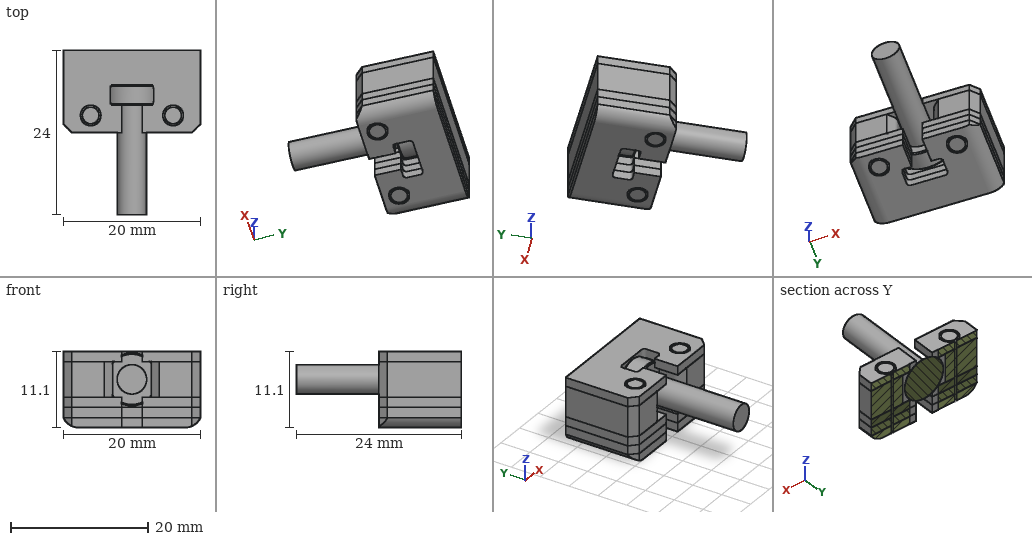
import cadquery as cq
import math

block_width = 20.0
block_depth = 12.0
block_height = 11.1
core_thickness = 5.15
corner_chamfer = 1.25
bottom_edge_radius = 2.5

plate_thickness = (block_height - core_thickness) / 4
core_bottom = 3 * plate_thickness
core_top = core_bottom + core_thickness

shank_diameter = 4.3
shank_tip_y = -12.0
head_diameter = 7.7
head_front_y = 3.98
head_length = 2.98
head_back_y = head_front_y + head_length
head_chamfer = 0.2
screw_z = core_bottom + core_thickness / 2

plate_slot_width = 3.02
plate_pocket_width = 6.3
pocket_corner_radius = 0.5

throat_width = 5.62
mouth_width = 8.0
mouth_corner_radius = 0.85
core_cavity_width = mouth_width

pin_diameter = 3.0
pin_spacing = 12.0
pin_y = 2.5
pin_chamfer = 0.3


def block_layer(bottom_z, thickness):
    """Plain layer of the block with chamfered front corners and both pin holes."""
    return (
        cq.Workplane("XY", origin=(0, block_depth / 2, bottom_z))
        .rect(block_width, block_depth)
        .extrude(thickness)
        .edges("|Z and <Y")
        .chamfer(corner_chamfer)
        .cut(pin_holes(bottom_z, thickness))
    )


def pin_holes(bottom_z, thickness):
    """Cutter for both pin holes of one layer."""
    return (
        cq.Workplane("XY", origin=(0, pin_y, bottom_z))
        .pushPoints([(-pin_spacing / 2, 0), (pin_spacing / 2, 0)])
        .circle(pin_diameter / 2)
        .extrude(thickness)
    )


def box_cutter(width, front_y, length, bottom_z, thickness):
    """Box centred on X = 0, reaching back from front_y."""
    return (
        cq.Workplane("XY", origin=(0, front_y + length / 2, bottom_z))
        .rect(width, length)
        .extrude(thickness)
    )


def make_plate(bottom_z):
    """Thin layer with a slot for the shank and a rounded pocket for the head."""
    slot = box_cutter(plate_slot_width, 0, head_back_y, bottom_z, plate_thickness)
    pocket = (
        box_cutter(plate_pocket_width, head_front_y, head_length, bottom_z, plate_thickness)
        .edges("|Z")
        .fillet(pocket_corner_radius)
    )
    return block_layer(bottom_z, plate_thickness).cut(slot).cut(pocket)


def make_bottom_plate():
    """Lowest plate, whose side edges are arcs that start level at the underside and stop at its top."""
    half_width = block_width / 2
    arc_rise = plate_thickness
    arc_reach = math.sqrt(bottom_edge_radius**2 - (bottom_edge_radius - arc_rise) ** 2)
    flat_half_width = half_width - arc_reach
    envelope = (
        cq.Workplane("XZ")
        .moveTo(-flat_half_width, 0)
        .lineTo(flat_half_width, 0)
        .tangentArcPoint((half_width, arc_rise), relative=False)
        .lineTo(-half_width, arc_rise)
        .radiusArc((-flat_half_width, 0), -bottom_edge_radius)
        .close()
        .extrude(-block_depth)
    )
    return make_plate(0).intersect(envelope)


def make_core():
    """Thick middle layer around the screw."""
    flare = (mouth_width - throat_width) / 2
    mouth_and_throat = (
        cq.Workplane("XY", origin=(0, 0, core_bottom))
        .moveTo(-mouth_width / 2, 0)
        .lineTo(-throat_width / 2, flare)
        .lineTo(-throat_width / 2, head_back_y)
        .lineTo(throat_width / 2, head_back_y)
        .lineTo(throat_width / 2, flare)
        .lineTo(mouth_width / 2, 0)
        .close()
        .extrude(core_thickness)
    )
    throat_corners = cq.selectors.BoxSelector(
        (-mouth_width / 2, flare / 2, core_bottom),
        (mouth_width / 2, flare * 3 / 2, core_top),
    )
    mouth_and_throat = mouth_and_throat.edges("|Z").edges(throat_corners).fillet(mouth_corner_radius)
    cavity = box_cutter(core_cavity_width, head_front_y, head_length, core_bottom, core_thickness)
    return block_layer(core_bottom, core_thickness).cut(mouth_and_throat).cut(cavity)


def make_screw():
    """Screw with a chamfered cylindrical head and a plain shank."""
    head = (
        cq.Workplane("XZ", origin=(0, head_front_y, screw_z))
        .circle(head_diameter / 2)
        .extrude(-head_length)
        .edges()
        .chamfer(head_chamfer)
    )
    shank = (
        cq.Workplane("XZ", origin=(0, head_front_y, screw_z))
        .circle(shank_diameter / 2)
        .extrude(head_front_y - shank_tip_y)
    )
    return head.union(shank)


def make_pin(x):
    """Full-height pin, chamfered at both ends."""
    return (
        cq.Workplane("XY", origin=(x, pin_y, 0))
        .circle(pin_diameter / 2)
        .extrude(block_height)
        .edges("%CIRCLE")
        .chamfer(pin_chamfer)
    )


bottom_plate = make_bottom_plate()
plates = [make_plate(z) for z in (plate_thickness, 2 * plate_thickness, core_top)]
core = make_core()
screw = make_screw()
pins = [make_pin(side * pin_spacing / 2) for side in (-1, 1)]

result = cq.Compound.makeCompound(
    [body.val() for body in [bottom_plate, *plates, core, screw, *pins]]
)